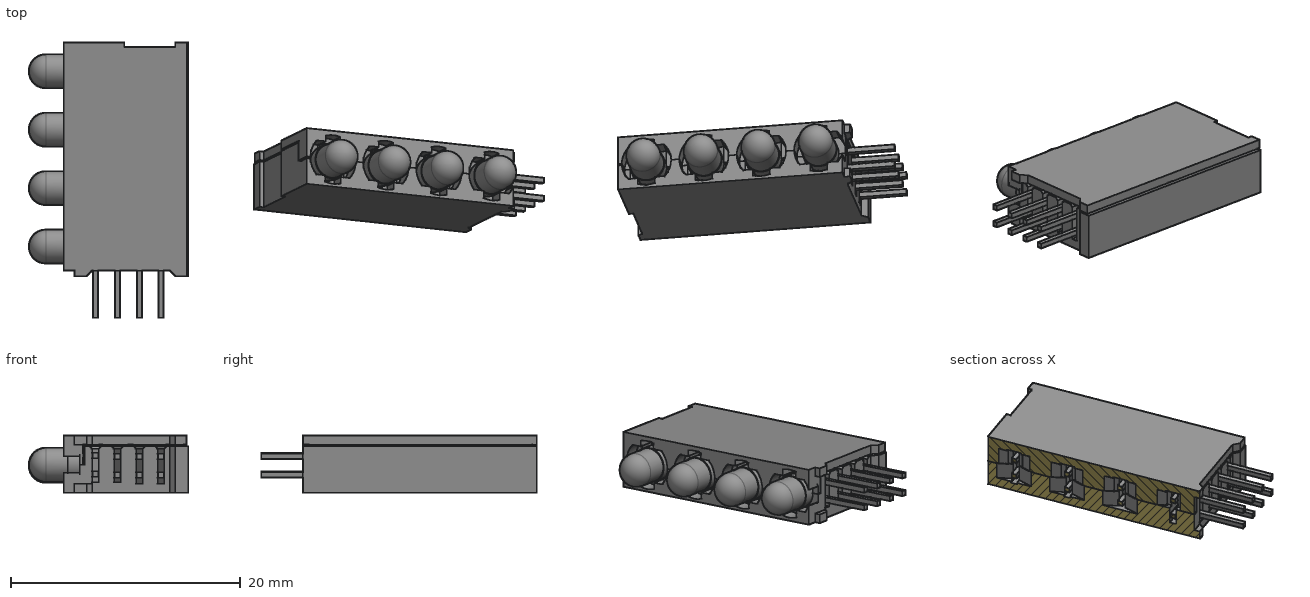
import cadquery as cq
import math


led_count = 4
led_pitch = 5.1
first_led_y = 2.1
lens_radius = 1.5
collar_radius = 1.54
collar_start = 0.35
led_tip_x = -3.05
lead_width = 0.45
lead_spacing = 1.6
lead_end_y = -4.13
led_ys = [first_led_y + i * led_pitch for i in range(led_count)]
led_zs = [2.45, 2.35, 2.35, 2.35]

slot_xs = [2.75, 4.68, 6.6, 8.47]
channel_floors = [0.94, 0.94, 0.8, 0.8]
channel_width = 0.58
flare = 0.22
channel_bend_x = 2.4
slot_depth = 1.2

height = 5.0
length = 19.87
base_depth = 10.85
lid_depth = 10.7
split_z = 2.45
base_top = 4.05
lid_underside = 4.2
lid_front_depth = 1.68
base_front_depth = 1.82
end_relief = 0.15

foot_height = 0.5
front_foot_start = 0.94
front_foot_end = 2.0
rear_foot_start = 9.72
front_foot_thickness = height - lid_underside
notch_start = 5.28
notch_end = 9.7
notch_depth = 0.38

recess_depth = 1.4
recess_radius = 2.18
recess_center_zs = [2.47, 2.42, 2.42, 2.42]
recess_top = 3.98
recess_floors = [1.08, 0.94, 0.94, 0.94]
lid_key_width = 1.37
base_key_width = 1.5
bore_radius = 1.55
side_opening_height = 1.45

funnel_angle = 18
lid_funnel_half_width = 1.5
base_funnel_half_width = 1.68
lid_slot_top = 4.1

round_spacers = [(2.5, 4.08, 1.18), (4.22, 15.85, 1.7), (5.0, 18.25, 1.18), (9.86, 9.6, 1.18)]
bar_spacers = [(2.14, 2.5, 2.65), (6.05, 8.93, 18.25)]
bar_spacer_width = 0.48


def block(x0, x1, y0, y1, z0, z1):
    return cq.Workplane("XY").box(x1 - x0, y1 - y0, z1 - z0, centered=False).translate((x0, y0, z0))


def lead_route(i, y_end):
    """Points of a lead's centre line in plan, from the back of the LED to y_end."""
    start = (recess_depth, led_ys[i])
    end = (slot_xs[i], y_end)
    if i == 0:
        return [start, (slot_xs[i], led_ys[i]), end]
    return [start, (channel_bend_x, led_ys[i]), (slot_xs[i], slot_depth), end]


def sweep_route(section, route):
    """Sweep a list of (y, z) section points, centred on the route, along the route."""
    start_x, start_y = route[0]
    path = cq.Workplane("XY").polyline(route)
    profile = cq.Workplane("YZ", origin=(start_x, start_y, 0)).polyline(section).close()
    return profile.sweep(path, transition="right")


def make_led(i):
    y, z = led_ys[i], led_zs[i]
    dome_x = led_tip_x + lens_radius
    outline = (
        cq.Workplane("XY")
        .moveTo(led_tip_x, 0)
        .radiusArc((dome_x, lens_radius), lens_radius)
        .lineTo(collar_start, lens_radius)
        .lineTo(collar_start, collar_radius)
        .lineTo(recess_depth, collar_radius)
        .lineTo(recess_depth, 0)
        .close()
    )
    led = outline.revolve(360, (0, 0, 0), (1, 0, 0)).translate((0, y, z))
    half = lead_width / 2
    for lead_z in (z - lead_spacing / 2, z + lead_spacing / 2):
        section = [
            (-half, lead_z - half),
            (half, lead_z - half),
            (half, lead_z + half),
            (-half, lead_z + half),
        ]
        led = led.union(sweep_route(section, lead_route(i, lead_end_y)))
    return led


def lead_channel(i):
    """Channel open at the top, with flared upper edges."""
    half = channel_width / 2
    section = [
        (-half, channel_floors[i]),
        (half, channel_floors[i]),
        (half, base_top - flare),
        (half + flare, base_top),
        (-half - flare, base_top),
        (-half, base_top - flare),
    ]
    return sweep_route(section, lead_route(i, 0))


def led_recess(i):
    """Round recess cut flat above and below, with a key slot at top and bottom."""
    y, floor = led_ys[i], recess_floors[i]
    disc = cq.Workplane("YZ").center(y, recess_center_zs[i]).circle(recess_radius).extrude(recess_depth)
    band = block(0, recess_depth, y - recess_radius, y + recess_radius, floor, recess_top)
    for width, z0, z1 in ((base_key_width, 0, split_z), (lid_key_width, split_z, height)):
        band = band.union(block(0, recess_depth, y - width / 2, y + width / 2, z0, z1))
    bore = cq.Workplane("YZ").center(y, led_zs[i]).circle(bore_radius).extrude(recess_depth)
    return disc.intersect(band).union(bore)


def side_opening():
    """Opening from the first recess out through the Y = 0 wall."""
    half = side_opening_height / 2
    return block(0, recess_depth, 0, first_led_y, split_z - half, split_z + half)


def wedge(y, y_start, half_width, z0, z1):
    """V-shaped funnel around y, narrowing towards +X and kept only beyond y_start."""
    depth = half_width * math.tan(math.radians(funnel_angle))
    outline = [
        (recess_depth, y - half_width),
        (recess_depth + depth, y),
        (recess_depth, y + half_width),
    ]
    solid = cq.Workplane("XY").workplane(offset=z0).polyline(outline).close().extrude(z1 - z0)
    return solid.intersect(block(0, base_depth, y_start, length, z0, z1))


def funnel(i):
    """Funnel of one LED; beside the side opening only its upper inner half exists."""
    y = led_ys[i]
    if i == 0:
        return wedge(y, y, lid_funnel_half_width, split_z, recess_top)
    upper = wedge(y, 0, lid_funnel_half_width, split_z, recess_top)
    return upper.union(wedge(y, 0, base_funnel_half_width, recess_floors[i], split_z))


def lid_slot(i):
    """Slot through the lid wall behind the recess, where the leads pass."""
    half = lid_key_width / 2
    return block(recess_depth, lid_front_depth, led_ys[i] - half, led_ys[i] + half, split_z, lid_slot_top)


def foot(x0, x1, z0, z1, slope_before, slope_after):
    """Foot standing out from the Y = 0 wall, with 45 degree flanks where asked."""
    before = foot_height if slope_before else 0
    after = foot_height if slope_after else 0
    outline = [(x0 - before, 0), (x0, -foot_height), (x1, -foot_height), (x1 + after, 0)]
    return cq.Workplane("XY").workplane(offset=z0).polyline(outline).close().extrude(z1 - z0)


def cut_openings(body):
    """Cut the openings that the base and the lid share."""
    for i in range(led_count):
        body = body.cut(led_recess(i)).cut(funnel(i)).cut(lid_slot(i))
    notch = block(notch_start, notch_end, length - notch_depth, length, 0, height)
    return body.cut(side_opening()).cut(notch)


def make_base():
    base = block(0, base_depth, 0, length, 0, split_z)
    base = base.union(block(base_front_depth, base_depth, 0, length, split_z, base_top))
    base = base.union(foot(front_foot_start, front_foot_end, 0, front_foot_thickness, False, True))
    base = base.union(foot(rear_foot_start, base_depth, 0, base_top, True, False))
    base = cut_openings(base)
    for i in range(led_count):
        base = base.cut(lead_channel(i))
    relief = block(0, recess_depth, led_ys[-1], length, split_z - end_relief, split_z)
    return base.cut(relief)


def make_lid():
    lid = block(0, lid_depth, 0, length, lid_underside, height)
    lid = lid.union(block(0, lid_front_depth, 0, length, split_z, height))
    lid = lid.union(foot(front_foot_start, front_foot_end, lid_underside, height, False, True))
    lid = lid.union(foot(rear_foot_start, lid_depth, lid_underside, height, True, False))
    for x, y, diameter in round_spacers:
        spacer = cq.Workplane("XY").circle(diameter / 2).extrude(lid_underside - base_top)
        lid = lid.union(spacer.translate((x, y, base_top)))
    for x0, x1, y0 in bar_spacers:
        lid = lid.union(block(x0, x1, y0, y0 + bar_spacer_width, base_top, lid_underside))
    return cut_openings(lid)


base = make_base()
lid = make_lid()
leds = [make_led(i) for i in range(led_count)]

result = cq.Compound.makeCompound([body.solids().val() for body in (base, lid, *leds)])